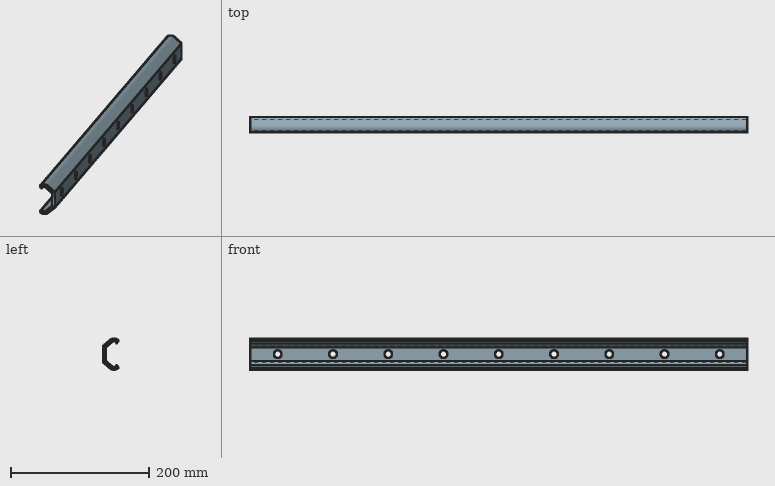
import cadquery as cq
import math

length = 720.0
depth = 22.0
height = 45.0

thickness = 3.95
flank_angle = 40.0
lip_radius = 8.0
lip_reach = 6.5
inner_end_angle = 75.0

hole_count = 9
hole_diameter = 11.0
hole_pitch = length / hole_count

half_depth = depth / 2
lip_center_y = lip_reach - half_depth
lip_center_z = height / 2 - lip_radius
lip_end_angle = math.degrees(math.asin(lip_reach / lip_radius))


def lip_point(radius, angle, side):
    """Point on a lip, with angle measured from its crest toward the open front."""
    turn = math.radians(angle)
    y = lip_center_y - radius * math.sin(turn)
    z = lip_center_z + radius * math.cos(turn)
    return (y, side * z)


def web_corner(inset, side):
    """Sharp corner where the web and flank surfaces meet, inset from the outside."""
    y = half_depth - inset
    flank_y, flank_z = lip_point(lip_radius - inset, -flank_angle, 1)
    z = flank_z - (y - flank_y) * math.tan(math.radians(flank_angle))
    return (y, side * z)


def curl(outline, radius, start, end, side):
    """Draw a lip curve as an arc from the start angle to the end angle."""
    middle = lip_point(radius, (start + end) / 2, side)
    return outline.threePointArc(middle, lip_point(radius, end, side))


def make_rail():
    inner_radius = lip_radius - thickness
    outline = cq.Workplane("YZ", origin=(-length / 2, 0, 0)).moveTo(*lip_point(lip_radius, lip_end_angle, 1))
    outline = curl(outline, lip_radius, lip_end_angle, -flank_angle, 1)
    outline = outline.lineTo(*web_corner(0, 1)).lineTo(*web_corner(0, -1))
    outline = outline.lineTo(*lip_point(lip_radius, -flank_angle, -1))
    outline = curl(outline, lip_radius, -flank_angle, lip_end_angle, -1)
    outline = outline.lineTo(*lip_point(inner_radius, inner_end_angle, -1))
    outline = curl(outline, inner_radius, inner_end_angle, -flank_angle, -1)
    outline = outline.lineTo(*web_corner(thickness, -1)).lineTo(*web_corner(thickness, 1))
    outline = outline.lineTo(*lip_point(inner_radius, -flank_angle, 1))
    outline = curl(outline, inner_radius, -flank_angle, inner_end_angle, 1)
    return outline.close().extrude(length)


def drill_web(rail):
    holes = (
        cq.Workplane("XZ", origin=(0, half_depth, 0))
        .rarray(hole_pitch, 7, hole_count, 1)
        .circle(hole_diameter / 2)
        .extrude(thickness)
    )
    return rail.cut(holes)


result = drill_web(make_rail())